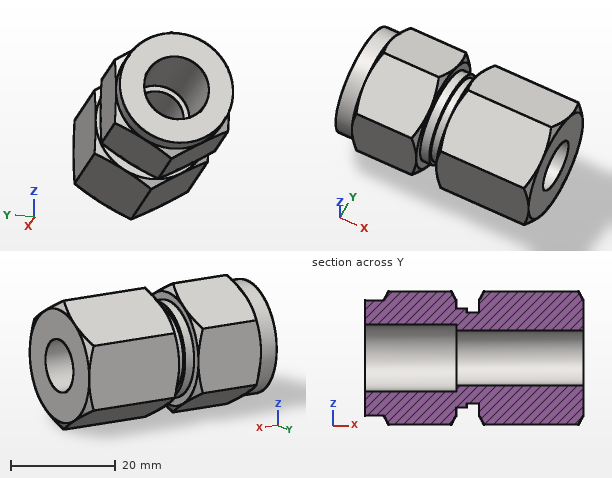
import cadquery as cq
import math

total_length = 41.91
half_length = total_length / 2
collar_length = 3.55
nut_hex_length = 13.97
shoulder_length = 2.0
neck_length = 2.32

hex_sides = 6
across_flats = 22.225
across_corners = across_flats / math.cos(math.pi / hex_sides)
hex_chamfer_angle = 30

shoulder_diameter = 19.05
neck_diameter = 17.6

socket_diameter = 12.7
socket_depth = collar_length + nut_hex_length
bore_diameter = 10.4

collar_start = -half_length
nut_start = collar_start + collar_length
shoulder_start = nut_start + nut_hex_length
neck_start = shoulder_start + shoulder_length
body_start = neck_start + neck_length
body_length = half_length - body_start


def cylinder(start, length, diameter):
    """Round bar along X beginning at the given station."""
    return cq.Workplane("YZ", origin=(start, 0, 0)).circle(diameter / 2).extrude(length)


def chamfered_hex(start, length):
    """Hexagonal bar along X whose corners are turned off conically at both ends."""
    flat_radius = across_flats / 2
    corner_radius = across_corners / 2
    chamfer_length = (corner_radius - flat_radius) * math.tan(math.radians(hex_chamfer_angle))
    end = start + length

    prism = (
        cq.Workplane("YZ", origin=(start, 0, 0))
        .transformed(rotate=(0, 0, 90))
        .polygon(hex_sides, across_corners)
        .extrude(length)
    )
    turned_envelope = (
        cq.Workplane("XY")
        .moveTo(start, 0)
        .lineTo(start, flat_radius)
        .lineTo(start + chamfer_length, corner_radius)
        .lineTo(end - chamfer_length, corner_radius)
        .lineTo(end, flat_radius)
        .lineTo(end, 0)
        .close()
        .revolve(360, (0, 0, 0), (1, 0, 0))
    )
    return prism.intersect(turned_envelope)


collar = cylinder(collar_start, collar_length, across_flats)
nut = chamfered_hex(nut_start, nut_hex_length)
shoulder = cylinder(shoulder_start, shoulder_length, shoulder_diameter)
neck = cylinder(neck_start, neck_length, neck_diameter)
body = chamfered_hex(body_start, body_length)

socket = cylinder(collar_start, socket_depth, socket_diameter)
bore = cylinder(collar_start, total_length, bore_diameter)

solid_fitting = collar.union(nut).union(shoulder).union(neck).union(body)
result = solid_fitting.cut(socket).cut(bore)